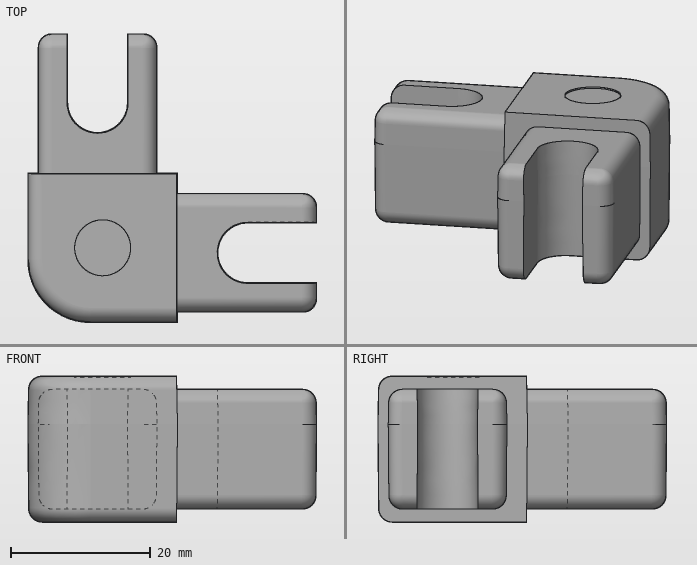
import cadquery as cq
import math

overall = 41.5
height = 21.0
body_side = 21.5

parting_height = 14.05
body_end_inset = 0.12

corner_radius = 9.0
edge_radius = 2.0

peg_width = 17.05
peg_height = 17.22
peg_side_gap = 1.5
peg_overlap = 8.3

slot_width = 8.6
slot_depth = 14.2

recess_diameter = 8.05
recess_depth = 0.2

body_top = height - parting_height
body_bottom = -parting_height
peg_gap_z = (height - peg_height) / 2
peg_top = body_top - peg_gap_z
peg_bottom = body_bottom + peg_gap_z
upper_draft = math.degrees(math.atan(body_end_inset / body_top))
lower_draft = math.degrees(math.atan(body_end_inset / parting_height))


def drafted_halves(outline, top, bottom, sense=1):
    """Extrude an outline both ways from the parting plane; a sense of -1 widens it."""
    plane = cq.Workplane("XY")
    upper = plane.placeSketch(outline).extrude(top, taper=sense * upper_draft)
    lower = plane.placeSketch(outline).extrude(bottom, taper=sense * lower_draft)
    return upper, lower


def make_body():
    """Square block with one large round corner, rounded along its two outer sides."""
    centre = body_side / 2
    outline = (
        cq.Sketch()
        .push([(centre, centre)])
        .rect(body_side, body_side)
        .reset()
        .vertices("<X and <Y")
        .fillet(corner_radius)
    )
    upper, lower = drafted_halves(outline, body_top, body_bottom)
    upper = upper.faces(">Z").edges("not (>X or >Y)").fillet(edge_radius)
    lower = lower.faces("<Z").edges("not (>X or >Y)").fillet(edge_radius)
    recess = (
        cq.Workplane("XY", origin=(centre, centre, body_top - recess_depth))
        .circle(recess_diameter / 2)
        .extrude(recess_depth)
    )
    return upper.union(lower).cut(recess)


def make_peg():
    """Slotted peg along +X, with rounded outer edges and its root buried in the body."""
    root = body_side - peg_overlap
    peg_middle = (root + overall) / 2
    peg_axis = peg_side_gap + peg_width / 2
    outline = cq.Sketch().push([(peg_middle, peg_axis)]).rect(overall - root, peg_width)
    upper, lower = drafted_halves(outline, peg_top, peg_bottom)
    upper = upper.edges("not <Z").fillet(edge_radius)
    lower = lower.edges("not >Z").fillet(edge_radius)
    return upper.union(lower).cut(make_slot(peg_axis))


def make_slot(axis_y):
    """U-shaped cutter, centred on the peg tip so that its round end sits inside the peg."""
    outline = (
        cq.Sketch()
        .push([(overall, axis_y)])
        .slot(2 * slot_depth - slot_width, slot_width)
    )
    upper, lower = drafted_halves(outline, peg_top, peg_bottom, sense=-1)
    return upper.union(lower)


body = make_body()
peg_x = make_peg()
mirror_normal = cq.Vector(1, -1, 0)
peg_y = peg_x.mirror(mirror_normal)
result = body.union(peg_x).union(peg_y)